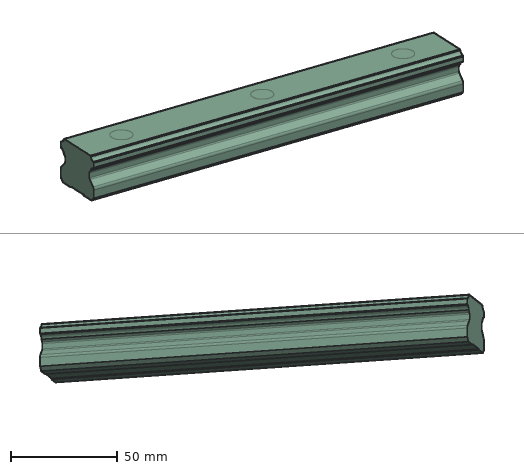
import cadquery as cq
import math

LENGTH = 210.0
WIDTH = 28.0
HEIGHT = 23.0
HALF_WIDTH = WIDTH / 2

TOP_HALF_WIDTH = 11.1
RACE_HALF_WIDTH = 11.5
RACE_RADIUS = 2.5
NOSE_CENTER = 19.1
NOSE_HALF_FLAT = 1.3
NOSE_CHAMFER = 0.5
RACE_REACH = 3.5

WAIST_HALF_WIDTH = 10.3
WAIST_FILLET = 1.0

FOOT_TOP = 6.3
SHOULDER_RADIUS = 2.0
FOOT_CHAMFER = 1.9

RELIEF_HALF_WIDTH = 5.5
RELIEF_DEPTH = 0.5

CAP_DIAMETER = 11.0
CAP_THICKNESS = 2.0
CAP_PITCH = 80.0
CAP_COUNT = 3

ARC_RISE = math.sin(math.radians(45))
ARC_RUN = 1 - math.cos(math.radians(45))


def build_rail():
    nose_root = HALF_WIDTH - NOSE_CHAMFER
    nose_half_height = NOSE_HALF_FLAT + NOSE_CHAMFER
    race_top = NOSE_CENTER + RACE_REACH
    race_bottom = NOSE_CENTER - RACE_REACH

    shoulder_x = HALF_WIDTH - SHOULDER_RADIUS * ARC_RUN
    shoulder_z = FOOT_TOP + SHOULDER_RADIUS * ARC_RISE

    fillet_x = WAIST_HALF_WIDTH + WAIST_FILLET * ARC_RUN
    fillet_rise = WAIST_FILLET * ARC_RISE
    upper_fillet_z = race_bottom - (RACE_HALF_WIDTH - fillet_x)
    lower_fillet_z = shoulder_z + (shoulder_x - fillet_x)

    half = (
        cq.Workplane("XZ", origin=(0, LENGTH / 2, 0))
        .moveTo(0, HEIGHT)
        .lineTo(TOP_HALF_WIDTH, HEIGHT)
        .lineTo(RACE_HALF_WIDTH, race_top)
        .radiusArc((nose_root, NOSE_CENTER + nose_half_height), -RACE_RADIUS)
        .lineTo(HALF_WIDTH, NOSE_CENTER + NOSE_HALF_FLAT)
        .lineTo(HALF_WIDTH, NOSE_CENTER - NOSE_HALF_FLAT)
        .lineTo(nose_root, NOSE_CENTER - nose_half_height)
        .radiusArc((RACE_HALF_WIDTH, race_bottom), -RACE_RADIUS)
        .lineTo(fillet_x, upper_fillet_z)
        .radiusArc((WAIST_HALF_WIDTH, upper_fillet_z - fillet_rise), -WAIST_FILLET)
        .lineTo(WAIST_HALF_WIDTH, lower_fillet_z + fillet_rise)
        .radiusArc((fillet_x, lower_fillet_z), -WAIST_FILLET)
        .lineTo(shoulder_x, shoulder_z)
        .radiusArc((HALF_WIDTH, FOOT_TOP), SHOULDER_RADIUS)
        .lineTo(HALF_WIDTH, FOOT_CHAMFER)
        .lineTo(HALF_WIDTH - FOOT_CHAMFER, 0)
        .lineTo(RELIEF_HALF_WIDTH, 0)
        .lineTo(RELIEF_HALF_WIDTH - RELIEF_DEPTH, RELIEF_DEPTH)
        .lineTo(0, RELIEF_DEPTH)
        .close()
        .extrude(LENGTH)
    )
    return half.union(half.mirror("YZ")).clean()


def build_caps():
    return (
        cq.Workplane("XY", origin=(0, 0, HEIGHT))
        .rarray(2, CAP_PITCH, 1, CAP_COUNT)
        .circle(CAP_DIAMETER / 2)
        .extrude(-CAP_THICKNESS)
    )


result = build_rail().union(build_caps(), clean=False)